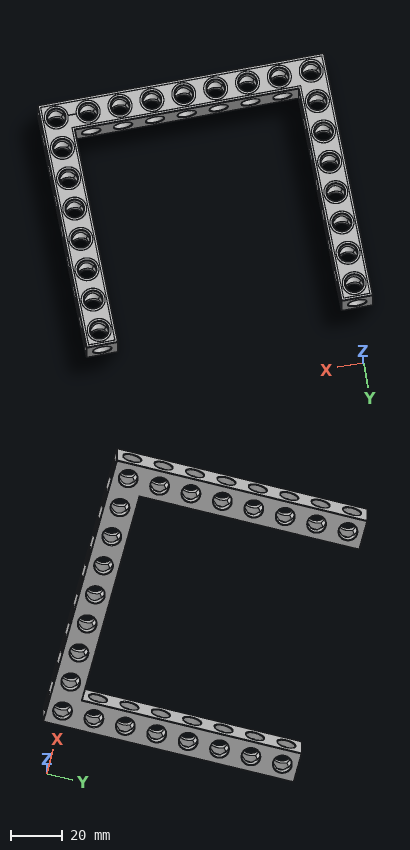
import cadquery as cq

LENGTH = 112.5
CELLS_X = 9
CELLS_Y = 8
HOLE_DIAMETER = 7.0
EDGE_CHAMFER = 0.3

RIM_WIDTH = 1.1
RECESS_DEPTH = 0.2
COLLAR_DIAMETER = 9.2
RIB_WIDTH = 0.1

PITCH = LENGTH / CELLS_X
WIDTH = CELLS_Y * PITCH
HEIGHT = PITCH
MID_HEIGHT = HEIGHT / 2
RECESS_FLOOR = HEIGHT - RECESS_DEPTH
ARM_COLUMNS = (0, CELLS_X - 1)


def cell_center(index):
    """Distance from the part's corner to the middle of a grid cell."""
    return (index + 0.5) * PITCH


def u_block(inset, bottom, top):
    """U-shaped block, open towards +Y, with every wall moved inwards by inset."""
    left, right = inset, LENGTH - inset
    front, back = inset, WIDTH - inset
    beam = PITCH - inset
    outline = [
        (left, front),
        (right, front),
        (right, back),
        (LENGTH - beam, back),
        (LENGTH - beam, beam),
        (beam, beam),
        (beam, back),
        (left, back),
    ]
    return cq.Workplane("XY", origin=(0, 0, bottom)).polyline(outline).close().extrude(top - bottom)


def chamfered_body():
    """Solid U with all edges broken except the two upright edges in the inner corners."""
    margin = PITCH / 10
    inner_corners = cq.selectors.BoxSelector(
        (PITCH - margin, PITCH - margin, MID_HEIGHT - margin),
        (LENGTH - PITCH + margin, PITCH + margin, MID_HEIGHT + margin),
    )
    all_edges = cq.selectors.StringSyntaxSelector("|X or |Y or |Z")
    broken_edges = cq.selectors.SubtractSelector(all_edges, inner_corners)
    return u_block(0, 0, HEIGHT).edges(broken_edges).chamfer(EDGE_CHAMFER)


def top_recess(hole_centers):
    """Recess inside the rim, leaving a collar around each hole and one thin rib."""
    floor = cq.Workplane("XY", origin=(0, 0, RECESS_FLOOR))
    collars = floor.pushPoints(hole_centers).circle(COLLAR_DIAMETER / 2).extrude(RECESS_DEPTH)
    rib_x = (cell_center(CELLS_X - 2) + cell_center(CELLS_X - 1)) / 2
    rib = floor.center(rib_x, cell_center(0)).rect(PITCH - HOLE_DIAMETER, RIB_WIDTH).extrude(RECESS_DEPTH)
    return u_block(RIM_WIDTH, RECESS_FLOOR, HEIGHT).cut(collars).cut(rib)


def hole_cutter(start, direction, depth):
    """Through-hole cutter that widens into a chamfer at both ends."""
    radius = HOLE_DIAMETER / 2
    mouth = radius + EDGE_CHAMFER
    half_profile = [
        (0, 0),
        (mouth, 0),
        (radius, EDGE_CHAMFER),
        (radius, depth - EDGE_CHAMFER),
        (mouth, depth),
        (0, depth),
    ]
    cutter = cq.Workplane("XZ").polyline(half_profile).close().revolve(360, (0, 0), (0, 1))
    return cutter.val().moved(cq.Location(cq.Plane(origin=start, normal=direction)))


base_cells = [(column, 0) for column in range(CELLS_X)]
arm_cells = [(column, row) for column in ARM_COLUMNS for row in range(1, CELLS_Y)]
top_centers = [(cell_center(column), cell_center(row)) for column, row in base_cells + arm_cells]

cutters = [hole_cutter((x, y, 0), (0, 0, 1), HEIGHT) for x, y in top_centers]

for column in range(CELLS_X):
    y_depth = WIDTH if column in ARM_COLUMNS else PITCH
    cutters.append(hole_cutter((cell_center(column), 0, MID_HEIGHT), (0, 1, 0), y_depth))

cutters.append(hole_cutter((0, cell_center(0), MID_HEIGHT), (1, 0, 0), LENGTH))
for column, row in arm_cells:
    cutters.append(hole_cutter((column * PITCH, cell_center(row), MID_HEIGHT), (1, 0, 0), PITCH))

body = chamfered_body().cut(top_recess(top_centers))
for cutter in cutters:
    body = body.cut(cutter)

result = body.solids()